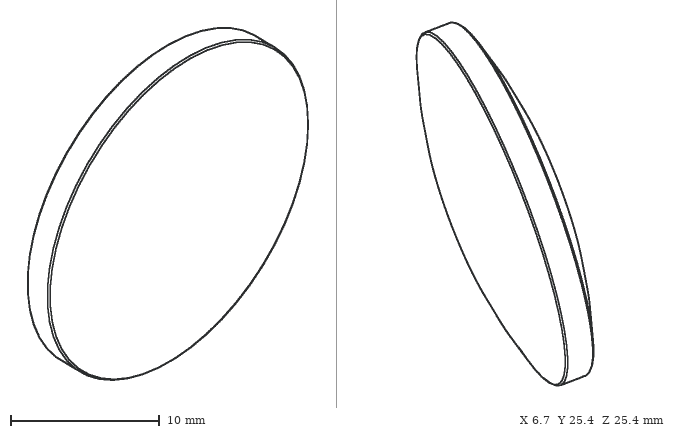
import cadquery as cq

diameter = 25.4
center_thickness = 6.7
edge_thickness = 2.08
bevel = 0.13

rim_radius = diameter / 2
face_radius = rim_radius - bevel
half_center = center_thickness / 2
half_edge = edge_thickness / 2
half_band = half_edge - bevel

sag = half_center - half_edge
sphere_radius = (face_radius**2 + sag**2) / (2 * sag)

mid_radius = face_radius / 2
mid_sag = sphere_radius - (sphere_radius**2 - mid_radius**2) ** 0.5
mid_x = half_center - mid_sag

half_profile = (
    cq.Workplane("XY")
    .moveTo(-half_center, 0)
    .threePointArc((-mid_x, mid_radius), (-half_edge, face_radius))
    .lineTo(-half_band, rim_radius)
    .lineTo(half_band, rim_radius)
    .lineTo(half_edge, face_radius)
    .threePointArc((mid_x, mid_radius), (half_center, 0))
    .close()
)
result = half_profile.revolve(360, (0, 0, 0), (1, 0, 0))